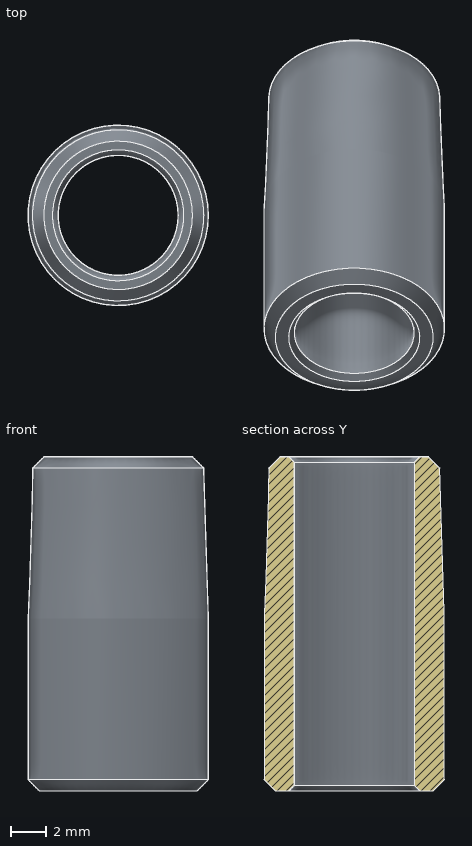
import cadquery as cq

length = 19.05
outer_radius = 5.15
bore_radius = 3.41

straight_top = 9.81
neck_radius = 4.88
edge_chamfer = 0.65
shoulder_z = length - edge_chamfer

bore_chamfer = 0.32
mouth_radius = bore_radius + bore_chamfer

section = (
    cq.Workplane("XZ")
    .moveTo(mouth_radius, 0)
    .lineTo(outer_radius - edge_chamfer, 0)
    .lineTo(outer_radius, edge_chamfer)
    .lineTo(outer_radius, straight_top)
    .lineTo(neck_radius, shoulder_z)
    .lineTo(neck_radius - edge_chamfer, length)
    .lineTo(mouth_radius, length)
    .lineTo(bore_radius, length - bore_chamfer)
    .lineTo(bore_radius, bore_chamfer)
    .close()
)

result = section.revolve(360, (0, 0, 0), (0, 1, 0))